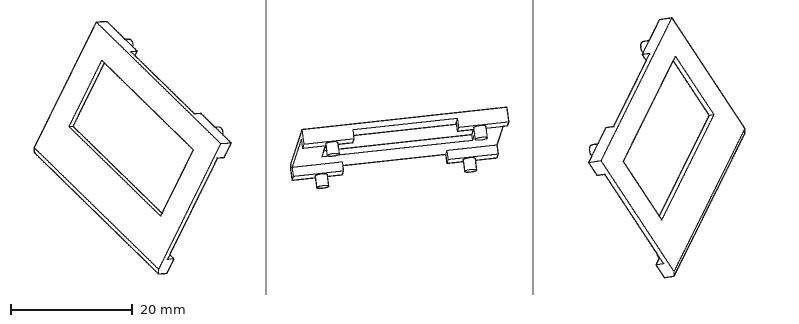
import cadquery as cq
import math

width = 34.0
height = 26.52
plate_thickness = 1.0
tilt_angle = 30.0

block_width = 8.33
block_height = 3.0
block_depth = 2.5
pin_diameter = 2.0
pin_length = 1.97
pin_edge_distance = 4.73

window_width = 25.0
window_height = 13.43
window_top_margin = 4.52

bevel_height = 1.02
bevel_angle = tilt_angle


def make_plate():
    return cq.Workplane("XY").box(width, plate_thickness, height, centered=(True, False, False))


def make_corner(side, block_bottom):
    """Block and pin at one corner; side is -1 for left and +1 for right."""
    block_x = side * (width - block_width) / 2
    pin_x = side * (width / 2 - pin_edge_distance)
    block_middle = block_bottom + block_height / 2
    block = (
        cq.Workplane("XY")
        .box(block_width, block_depth, block_height, centered=(True, False, True))
        .translate((block_x, 0, block_middle))
    )
    pin = cq.Solid.makeCylinder(
        pin_diameter / 2,
        block_depth + pin_length,
        cq.Vector(pin_x, 0, block_middle),
        cq.Vector(0, 1, 0),
    )
    return block.union(cq.Workplane(obj=pin))


def make_window():
    return (
        cq.Workplane("XY")
        .box(window_width, plate_thickness, window_height, centered=(True, False, False))
        .translate((0, 0, height - window_top_margin - window_height))
    )


def make_bevel():
    bevel_depth = bevel_height * math.tan(math.radians(bevel_angle))
    return (
        cq.Workplane("YZ")
        .polyline([(0, 0), (bevel_depth, 0), (0, bevel_height)])
        .close()
        .extrude(width / 2, both=True)
    )


frame = make_plate()
for side in (-1, 1):
    for block_bottom in (0, height - block_height):
        frame = frame.union(make_corner(side, block_bottom))
frame = frame.cut(make_window()).cut(make_bevel())

result = frame.rotate((0, 0, 0), (1, 0, 0), -tilt_angle)